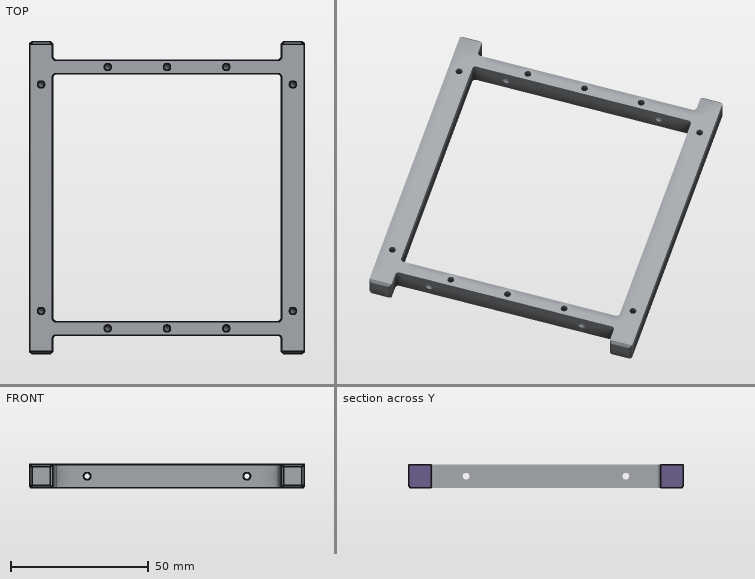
import cadquery as cq
import math

frame_width = 100.0
frame_length = 113.5
frame_height = 8.5
rail_width = 8.4
bar_thickness = 5.0
bar_inset = 6.7
corner_radius = 1.2
end_chamfer = 0.9
bottom_chamfer_height = 0.8
bottom_chamfer_width = 0.6

hole_diameter = 2.5
hole_depth = 5.7
drill_point_angle = 118.0
bar_hole_pitch = 21.6
rail_hole_inset = 15.5
cross_hole_spacing = 58.1

joint_x = frame_width / 2 - rail_width
rail_center_x = (frame_width - rail_width) / 2
bar_center_y = frame_length / 2 - bar_inset - bar_thickness / 2
rail_hole_y = frame_length / 2 - rail_hole_inset
hole_radius = hole_diameter / 2
drill_point_depth = hole_radius / math.tan(math.radians(drill_point_angle / 2))


def make_rail(side):
    """Rail on the -X (side = -1) or +X (side = 1) side, with its chamfers."""
    outer = side * frame_width / 2
    inner = side * joint_x
    top = frame_height / 2
    section = [
        (inner, -top),
        (inner, top),
        (outer, top),
        (outer, -top + bottom_chamfer_height),
        (outer - side * bottom_chamfer_width, -top),
    ]
    rail = cq.Workplane("XZ").polyline(section).close().extrude(frame_length / 2, both=True)
    return rail.faces("<Y or >Y").chamfer(end_chamfer)


def make_bar(side):
    """Cross bar at the -Y (side = -1) or +Y (side = 1) end."""
    bar = cq.Workplane("XY").box(2 * joint_x, bar_thickness, frame_height)
    return bar.translate((0, side * bar_center_y, 0))


def fillet_joints(frame):
    """Round the eight upright inside corners between bars and rails."""
    points = [
        (x, bar_y + face_y, 0)
        for x in (-joint_x, joint_x)
        for bar_y in (-bar_center_y, bar_center_y)
        for face_y in (-bar_thickness / 2, bar_thickness / 2)
    ]
    for point in points:
        joint_edge = cq.selectors.NearestToPointSelector(point)
        frame = frame.edges("|Z").edges(joint_edge).fillet(corner_radius)
    return frame


def make_drilled_hole(x, y):
    """Cutter for a blind hole from the top face with a conical drill point."""
    wall_end = frame_height / 2 - hole_depth
    profile = (
        cq.Workplane("XZ")
        .moveTo(0, frame_height / 2)
        .lineTo(hole_radius, frame_height / 2)
        .lineTo(hole_radius, wall_end)
        .lineTo(0, wall_end - drill_point_depth)
        .close()
    )
    return profile.revolve(360, (0, 0, 0), (0, 1, 0)).translate((x, y, 0))


def make_cross_hole(x):
    """Cutter for a hole along Y through both cross bars."""
    return (
        cq.Workplane("XZ")
        .center(x, 0)
        .circle(hole_radius)
        .extrude(frame_length / 2, both=True)
    )


result = make_rail(-1)
for body in (make_rail(1), make_bar(-1), make_bar(1)):
    result = result.union(body)
result = fillet_joints(result)

bar_holes = [
    (x, y)
    for x in (-bar_hole_pitch, 0, bar_hole_pitch)
    for y in (-bar_center_y, bar_center_y)
]
rail_holes = [
    (x, y)
    for x in (-rail_center_x, rail_center_x)
    for y in (-rail_hole_y, rail_hole_y)
]
for x, y in bar_holes + rail_holes:
    result = result.cut(make_drilled_hole(x, y))

for x in (-cross_hole_spacing / 2, cross_hole_spacing / 2):
    result = result.cut(make_cross_hole(x))